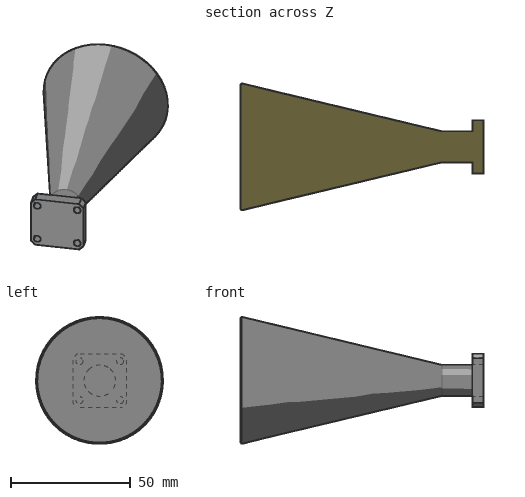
import cadquery as cq

overall_length = 101.6
aperture_diameter = 53.15
rim_chamfer = 0.65
neck_diameter = 13.1
neck_length = 12.8

flange_side = 22.4
flange_thickness = 4.76
flange_corner_chamfer = 1.85
hole_diameter = 2.95
hole_pitch_y = 17.02
hole_pitch_z = 16.26

flange_start = overall_length - flange_thickness
cone_end = flange_start - neck_length
aperture_radius = aperture_diameter / 2
neck_radius = neck_diameter / 2


def make_horn():
    """Cone and neck revolved about X, with a chamfered aperture rim."""
    profile = (
        cq.Workplane("XZ")
        .lineTo(0, aperture_radius - rim_chamfer)
        .lineTo(rim_chamfer, aperture_radius)
        .lineTo(cone_end, neck_radius)
        .lineTo(flange_start, neck_radius)
        .lineTo(flange_start, 0)
        .close()
    )
    return profile.revolve(360, (0, 0, 0), (1, 0, 0))


def make_flange():
    """Square plate with chamfered corners and four through holes."""
    return (
        cq.Workplane("YZ", origin=(flange_start, 0, 0))
        .rect(flange_side, flange_side)
        .extrude(flange_thickness)
        .edges("|X")
        .chamfer(flange_corner_chamfer)
        .faces(">X")
        .workplane()
        .rect(hole_pitch_y, hole_pitch_z, forConstruction=True)
        .vertices()
        .hole(hole_diameter)
    )


result = make_horn().union(make_flange())